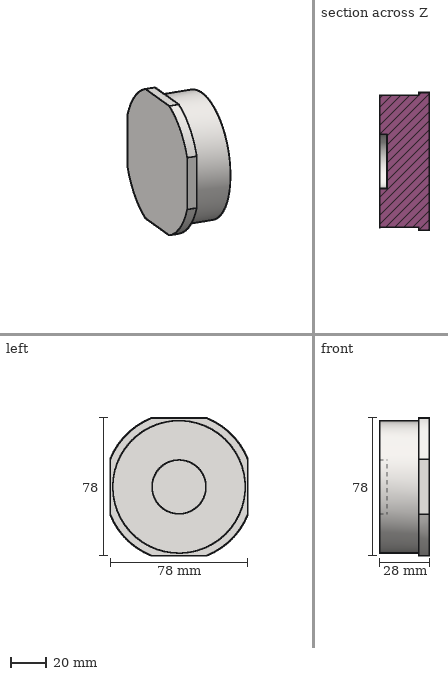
import cadquery as cq

across_flats = 78.0
flange_diameter = 84.0
flange_thickness = 6.0

total_length = 28.0
body_diameter = 74.95
body_length = total_length - flange_thickness

recess_diameter = 30.5
recess_depth = 4.0


def cylinder_along_x(start, diameter, length):
    return cq.Workplane("YZ", origin=(start, 0, 0)).circle(diameter / 2).extrude(length)


def flange():
    disc = cylinder_along_x(body_length, flange_diameter, flange_thickness)
    square = (
        cq.Workplane("YZ", origin=(body_length, 0, 0))
        .rect(across_flats, across_flats)
        .extrude(flange_thickness)
    )
    return disc.intersect(square)


body = cylinder_along_x(0, body_diameter, body_length)
recess = cylinder_along_x(0, recess_diameter, recess_depth)
result = body.union(flange()).cut(recess)